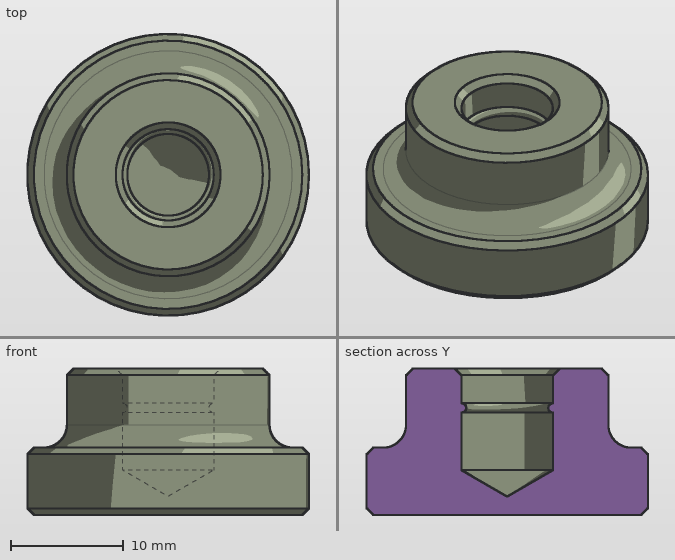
import cadquery as cq
import math

flange_radius = 12.5
flange_height = 6
total_height = 13
boss_radius = 9
edge_chamfer = 0.6
neck_fillet = 2

bore_radius = 4.05
bore_depth = 9
bead_radius = 0.42
bead_depth = 3.5
drill_point_angle = 120

arc_middle = 1 - math.sqrt(0.5)
bore_floor = total_height - bore_depth
drill_tip = bore_floor - bore_radius / math.tan(math.radians(drill_point_angle / 2))
bead_middle = total_height - bead_depth
bead_top = bead_middle + bead_radius
bead_bottom = bead_middle - bead_radius


def revolved(profile):
    """Turn a closed radius-height profile around the Z axis."""
    return profile.close().revolve(360, (0, 0, 0), (0, 1, 0))


body = revolved(
    cq.Workplane("XZ")
    .lineTo(flange_radius - edge_chamfer, 0)
    .lineTo(flange_radius, edge_chamfer)
    .lineTo(flange_radius, flange_height - edge_chamfer)
    .lineTo(flange_radius - edge_chamfer, flange_height)
    .lineTo(boss_radius + neck_fillet, flange_height)
    .threePointArc(
        (boss_radius + neck_fillet * arc_middle, flange_height + neck_fillet * arc_middle),
        (boss_radius, flange_height + neck_fillet),
    )
    .lineTo(boss_radius, total_height - edge_chamfer)
    .lineTo(boss_radius - edge_chamfer, total_height)
    .lineTo(0, total_height)
)

bore = revolved(
    cq.Workplane("XZ")
    .moveTo(0, total_height)
    .lineTo(bore_radius + edge_chamfer, total_height)
    .lineTo(bore_radius, total_height - edge_chamfer)
    .lineTo(bore_radius, bead_top)
    .threePointArc((bore_radius - bead_radius, bead_middle), (bore_radius, bead_bottom))
    .lineTo(bore_radius, bore_floor)
    .lineTo(0, drill_tip)
)

result = body.cut(bore)